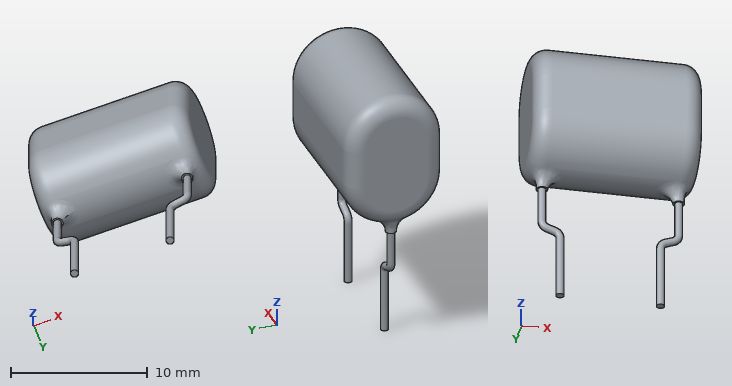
import cadquery as cq
import math

total_height = 20.5
body_length = 12.6
body_width = 7.5
body_height = 10.5
end_rounding = 1.27

lead_diameter = 0.6
lead_spacing_top = 10.2
lead_spacing_bottom = 7.5
bend_radius = 0.6
bend_angle_degrees = 70
bend_angle = math.radians(bend_angle_degrees)
lower_bend_height = 4.98
lead_insertion = 1.0

collar_diameter = 0.85
collar_bottom = 9.05
collar_flare_radius = 1.25

body_bottom = total_height - body_height
body_center_height = total_height - body_height / 2
lead_top = body_bottom + lead_insertion
lead_end_x = lead_spacing_bottom / 2
lead_root_x = lead_spacing_top / 2


def make_lead(side):
    """One round wire; side is -1 for the left lead and +1 for the right one."""
    bend_reach = bend_radius * (1 - math.cos(bend_angle))
    bend_rise = bend_radius * math.sin(bend_angle)
    mid_reach = bend_radius * (1 - math.cos(bend_angle / 2))
    mid_rise = bend_radius * math.sin(bend_angle / 2)

    slope_reach = lead_root_x - lead_end_x - 2 * bend_reach
    slope_rise = slope_reach / math.tan(bend_angle)
    upper_bend_height = lower_bend_height + 2 * bend_rise + slope_rise

    path = (
        cq.Workplane("XZ")
        .moveTo(side * lead_end_x, 0)
        .lineTo(side * lead_end_x, lower_bend_height)
        .threePointArc(
            (side * (lead_end_x + mid_reach), lower_bend_height + mid_rise),
            (side * (lead_end_x + bend_reach), lower_bend_height + bend_rise),
        )
        .lineTo(side * (lead_root_x - bend_reach), upper_bend_height - bend_rise)
        .threePointArc(
            (side * (lead_root_x - mid_reach), upper_bend_height - mid_rise),
            (side * lead_root_x, upper_bend_height),
        )
        .lineTo(side * lead_root_x, lead_top)
    )
    return cq.Workplane("XY").center(side * lead_end_x, 0).circle(lead_diameter / 2).sweep(path)


def make_body():
    """Rounded bar with two flared collars, before the lead holes are made."""
    body = (
        cq.Workplane("YZ", origin=(-body_length / 2, 0, body_center_height))
        .slot2D(body_height, body_width, angle=90)
        .extrude(body_length)
        .faces("<X or >X")
        .edges()
        .fillet(end_rounding)
    )
    collars = (
        cq.Workplane("XY", origin=(0, 0, collar_bottom))
        .pushPoints([(-lead_root_x, 0), (lead_root_x, 0)])
        .circle(collar_diameter / 2)
        .extrude(lead_top - collar_bottom)
    )
    body = body.union(collars)

    joint_reach = collar_diameter
    joint_bottom = (collar_bottom + body_bottom) / 2
    for side in (-1, 1):
        joint = cq.selectors.BoxSelector(
            (side * lead_root_x - joint_reach, -joint_reach, joint_bottom),
            (side * lead_root_x + joint_reach, joint_reach, lead_top),
            boundingbox=True,
        )
        body = body.edges(joint).fillet(collar_flare_radius)
    return body


leads = [make_lead(side) for side in (-1, 1)]

body = make_body()
for lead in leads:
    body = body.cut(lead)

result = cq.Compound.makeCompound([body.val(), *[lead.val() for lead in leads]])